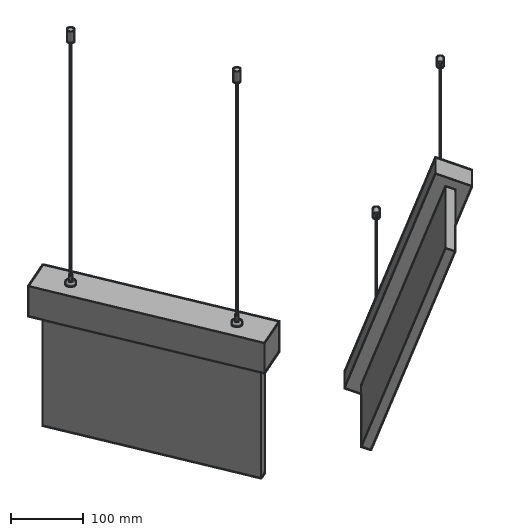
import cadquery as cq

total_height = 684.0

housing_length = 350.0
housing_depth = 54.0
housing_height = 52.0
panel_length = 324.0
panel_thickness = 14.5
panel_height = 197.0
housing_top = panel_height + housing_height

cable_spacing = 246.0
cable_diameter = 2.5
flange_diameter = 15.0
flange_height = 5.0
flange_rounding = 3.0
sleeve_diameter = 5.0
sleeve_height = 10.0
cap_diameter = 10.0
cap_height = 20.0


def upright_cylinder(diameter, bottom, height):
    """Cylinder on the Z axis, standing on the given level."""
    return cq.Workplane("XY").workplane(offset=bottom).circle(diameter / 2).extrude(height)


def upright_box(length, depth, bottom, height):
    """Box centred on the Z axis, standing on the given level."""
    return cq.Workplane("XY").workplane(offset=bottom).rect(length, depth).extrude(height)


def suspension():
    """Flange, sleeve, cable and ceiling cap stacked on one axis."""
    flange = upright_cylinder(flange_diameter, housing_top, flange_height)
    flange = flange.faces(">Z").edges().fillet(flange_rounding)
    sleeve = upright_cylinder(sleeve_diameter, housing_top, flange_height + sleeve_height)
    cable = upright_cylinder(cable_diameter, housing_top, total_height - housing_top)
    cap = upright_cylinder(cap_diameter, total_height - cap_height, cap_height)
    return flange.union(sleeve).union(cable).union(cap)


housing = upright_box(housing_length, housing_depth, panel_height, housing_height)
panel = upright_box(panel_length, panel_thickness, 0, panel_height)
result = housing.union(panel)

for side in (-1, 1):
    result = result.union(suspension().translate((side * cable_spacing / 2, 0, 0)))